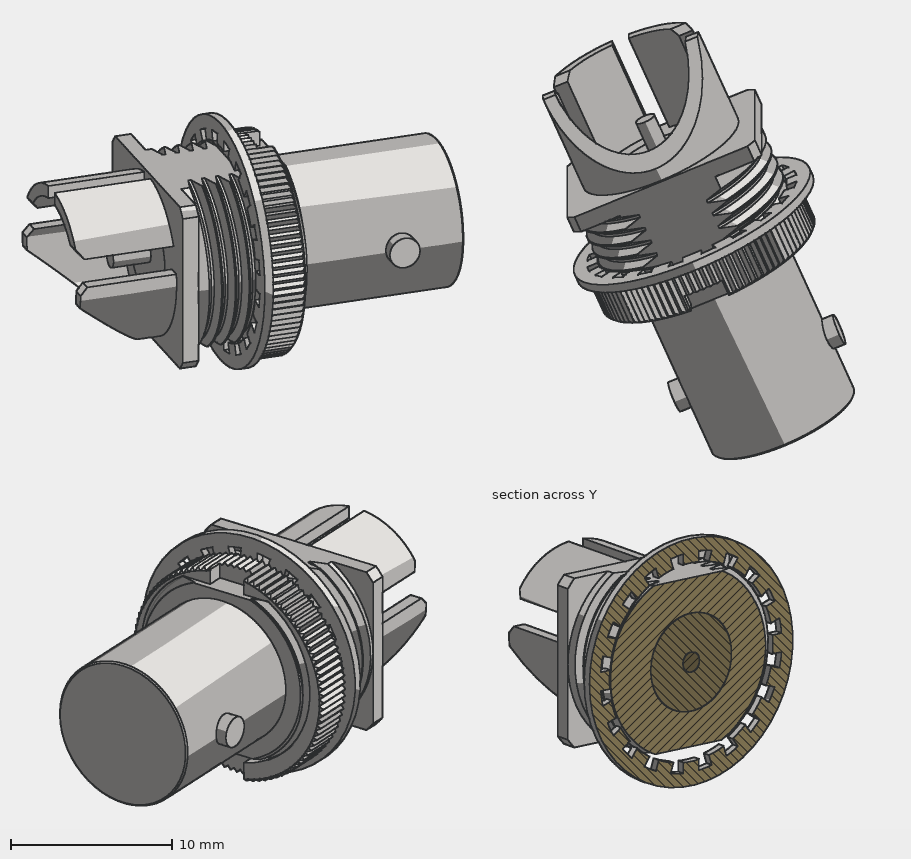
import cadquery as cq
import math

LENGTH = 25.48

PLATE_FRONT = 6.35
PLATE_BACK = 7.4
PLATE_WIDTH = 12.7
PLATE_HEIGHT = 10.93
PLATE_CORNER_DIAMETER = 16.0
THREAD_END = 14.7
THREAD_MAJOR_DIAMETER = PLATE_WIDTH
THREAD_MINOR_DIAMETER = 11.72
THREAD_TURNS = 8
THREAD_ADVANCE = 7.25
THREAD_PITCH = THREAD_ADVANCE / THREAD_TURNS
THREAD_ROOT_FLAT = 0.18
THREAD_CREST_FLAT = 0.1
THREAD_FIRST_ROOT = 8.05
THREAD_END_CHAMFER = 0.4

BARREL_DIAMETER = 9.65
BARREL_CHAMFER = 0.1
LUG_DIAMETER = 2.0
LUG_SPAN = 11.13
LUG_Y = 21.3

FINGER_OUTER_DIAMETER = 10.5
FINGER_INNER_DIAMETER = 8.87
UPPER_FINGER_BOTTOM = 2.35
LOWER_FINGER_TOP = 0.65
FINGER_GAP_WIDTH = 1.12
TIP_CHAMFER_LENGTH = 0.45
TIP_CHAMFER_HEIGHT = 0.5
RAMP_TIP_Z = -0.71
RAMP_END_Y = 5.5

INSULATOR_DIAMETER = 6.3
CONTACT_DIAMETER = 1.25
CONTACT_TIP = 3.87

WASHER_FRONT = 11.15
WASHER_BACK = 11.72
WASHER_OUTER_DIAMETER = 16.0
WASHER_TOOTH_ROOT_DIAMETER = 14.2
WASHER_BORE_DIAMETER = 12.8
WASHER_TEETH = 20
WASHER_TOOTH_WIDTH = 1.25

NUT_BACK = 14.27
NUT_DIAMETER = 14.32
NUT_BORE_DIAMETER = THREAD_MINOR_DIAMETER
NUT_X = -0.1
NUT_Z = -0.45
NUT_CHAMFER = 0.2
NUT_KNURLS = 96
NUT_KNURL_DEPTH = 0.23
NUT_SLOT_WIDTH = 2.55
NUT_SLOT_DEPTH = 1.07


def section(y, x=0.0, z=0.0):
    """Sketch plane across the axis at height y, with local axes along X and Z."""
    return cq.Workplane("XZ", origin=(x, y, z))


def cylinder(diameter, y_start, y_end):
    return section(y_start).circle(diameter / 2).extrude(y_start - y_end)


def box(width, height, y_start, y_end):
    return section(y_start).rect(width, height).extrude(y_start - y_end)


def make_shank():
    """Flatted shank whose thread is a V groove swept along a right-hand helix."""
    major_radius = THREAD_MAJOR_DIAMETER / 2
    minor_radius = THREAD_MINOR_DIAMETER / 2
    half_root = THREAD_ROOT_FLAT / 2
    half_mouth = (THREAD_PITCH - THREAD_CREST_FLAT) / 2
    overshoot = 0.03
    flank_slope = (half_mouth - half_root) / (major_radius - minor_radius)
    half_outer = half_mouth + overshoot * flank_slope

    helix = cq.Wire.makeHelix(THREAD_PITCH, THREAD_PITCH, minor_radius)
    groove = (
        cq.Workplane("XZ")
        .polyline([
            (minor_radius, -half_root),
            (major_radius + overshoot, -half_outer),
            (major_radius + overshoot, half_outer),
            (minor_radius, half_root),
        ])
        .close()
        .sweep(cq.Workplane(obj=helix), isFrenet=True)
        .rotate((0, 0, 0), (0, 0, 1), 90)
        .rotate((0, 0, 0), (1, 0, 0), -90)
        .translate((0, THREAD_FIRST_ROOT - THREAD_PITCH / 4, 0))
    )
    blank = cylinder(THREAD_MAJOR_DIAMETER, PLATE_BACK, THREAD_END)
    blank = blank.faces(">Y").chamfer(THREAD_END_CHAMFER)
    shank = blank.intersect(box(PLATE_WIDTH, PLATE_HEIGHT, PLATE_BACK, THREAD_END))
    for turn in range(THREAD_TURNS):
        shank = shank.cut(groove.translate((0, turn * THREAD_PITCH, 0)))
    return shank


def make_fingers():
    """Split tube: two upper fingers and a ramped lower jaw that grip the board edge."""
    reach = FINGER_OUTER_DIAMETER / 2
    tube = cylinder(FINGER_OUTER_DIAMETER, 0, PLATE_FRONT)
    tube = tube.cut(cylinder(FINGER_INNER_DIAMETER, 0, PLATE_FRONT))
    upper_outline = [
        (PLATE_FRONT, UPPER_FINGER_BOTTOM),
        (TIP_CHAMFER_LENGTH, UPPER_FINGER_BOTTOM),
        (0, UPPER_FINGER_BOTTOM + TIP_CHAMFER_HEIGHT),
        (0, reach),
        (PLATE_FRONT, reach),
    ]
    lower_outline = [
        (PLATE_FRONT, LOWER_FINGER_TOP),
        (TIP_CHAMFER_LENGTH, LOWER_FINGER_TOP),
        (0, LOWER_FINGER_TOP - TIP_CHAMFER_HEIGHT),
        (0, RAMP_TIP_Z),
        (RAMP_END_Y, -reach),
        (PLATE_FRONT, -reach),
    ]
    side_shape = cq.Workplane("YZ")
    upper = side_shape.polyline(upper_outline).close().extrude(reach, both=True)
    lower = side_shape.polyline(lower_outline).close().extrude(reach, both=True)
    gap = section(0).center(0, reach).rect(FINGER_GAP_WIDTH, 2 * reach).extrude(-PLATE_FRONT)
    return tube.intersect(upper).cut(gap).union(tube.intersect(lower))


def make_housing():
    plate = box(PLATE_WIDTH, PLATE_HEIGHT, PLATE_FRONT, PLATE_BACK)
    plate = plate.intersect(cylinder(PLATE_CORNER_DIAMETER, PLATE_FRONT, PLATE_BACK))

    barrel = cylinder(BARREL_DIAMETER, THREAD_END, LENGTH).faces(">Y").chamfer(BARREL_CHAMFER)
    lugs = (
        cq.Workplane("YZ")
        .center(LUG_Y, 0)
        .circle(LUG_DIAMETER / 2)
        .extrude(LUG_SPAN / 2, both=True)
    )
    seat = cylinder(INSULATOR_DIAMETER, PLATE_FRONT, THREAD_END)
    return plate.union(make_shank()).union(barrel).union(lugs).cut(seat).union(make_fingers())


def make_insulator():
    contact_hole = cylinder(CONTACT_DIAMETER, PLATE_FRONT, THREAD_END)
    return cylinder(INSULATOR_DIAMETER, PLATE_FRONT, THREAD_END).cut(contact_hole)


def make_contact():
    return cylinder(CONTACT_DIAMETER, CONTACT_TIP, THREAD_END)


def make_washer():
    """Flat ring with parallel-sided teeth pointing inward."""
    thickness = WASHER_BACK - WASHER_FRONT
    ring = cylinder(WASHER_OUTER_DIAMETER, WASHER_FRONT, WASHER_BACK)
    ring = ring.cut(cylinder(WASHER_TOOTH_ROOT_DIAMETER, WASHER_FRONT, WASHER_BACK))
    rim_middle = (WASHER_OUTER_DIAMETER + WASHER_TOOTH_ROOT_DIAMETER) / 4
    tooth_start = WASHER_BORE_DIAMETER / 4
    teeth = (
        section(WASHER_FRONT)
        .polarArray((rim_middle + tooth_start) / 2, 0, 360, WASHER_TEETH)
        .rect(rim_middle - tooth_start, WASHER_TOOTH_WIDTH)
        .extrude(-thickness)
    )
    return ring.union(teeth).cut(cylinder(WASHER_BORE_DIAMETER, WASHER_FRONT, WASHER_BACK))


def make_nut():
    """Ring with a V knurl, two driving slots and a bore that clears the flatted thread."""
    thickness = NUT_BACK - WASHER_BACK
    crest_radius = NUT_DIAMETER / 2
    valley_radius = crest_radius - NUT_KNURL_DEPTH
    half_step = math.pi / NUT_KNURLS
    knurl_outline = []
    for corner in range(2 * NUT_KNURLS):
        radius = crest_radius if corner % 2 == 0 else valley_radius
        angle = corner * half_step
        knurl_outline.append((radius * math.cos(angle), radius * math.sin(angle)))

    nut_plane = section(WASHER_BACK, NUT_X, NUT_Z)
    knurled = nut_plane.polyline(knurl_outline).close().extrude(-thickness)
    chamfered = nut_plane.circle(crest_radius).extrude(-thickness).faces(">Y").chamfer(NUT_CHAMFER)
    bore = nut_plane.circle(NUT_BORE_DIAMETER / 2).extrude(-thickness)
    slots = (
        section(NUT_BACK, NUT_X, NUT_Z)
        .rect(NUT_SLOT_WIDTH, NUT_DIAMETER)
        .extrude(NUT_SLOT_DEPTH)
    )
    thread_clearance = cylinder(THREAD_MAJOR_DIAMETER, WASHER_BACK, NUT_BACK).intersect(
        box(PLATE_WIDTH, PLATE_HEIGHT, WASHER_BACK, NUT_BACK)
    )
    return knurled.intersect(chamfered).cut(bore).cut(slots).cut(thread_clearance)


housing = make_housing()
insulator = make_insulator()
contact = make_contact()
washer = make_washer()
nut = make_nut()

result = cq.Compound.makeCompound([
    housing.val(),
    insulator.val(),
    contact.val(),
    washer.val(),
    nut.val(),
])